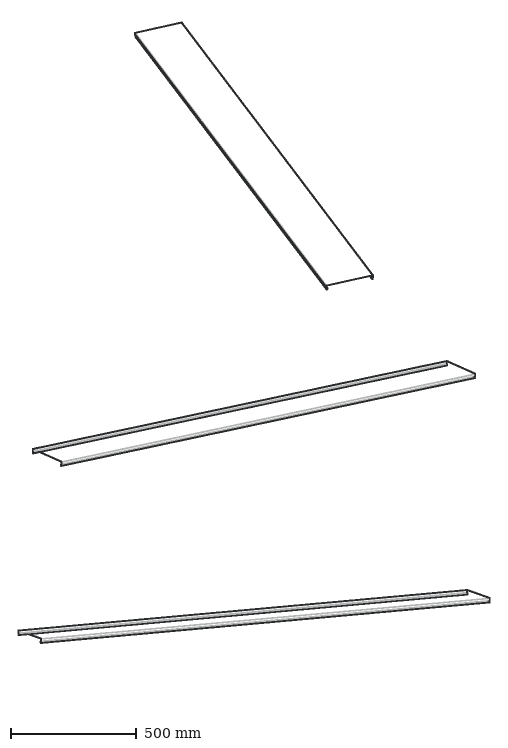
import cadquery as cq

length = 2000.0
width = 202.0
height = 19.2

sheet = 1.0
inner_bend = 1.0
outer_bend = inner_bend + sheet

flange_drop = 10.0
knee_drop = 15.0
knee_inset = 5.0
lip_inset = 2.0

half_width = width / 2


def side_outline(inset):
    """Points down the +Y flange, moved inward by inset."""
    edge = half_width - inset
    return [
        (edge, -flange_drop),
        (edge - knee_inset, -knee_drop),
        (edge - lip_inset, -height),
    ]


def mirrored(points):
    return [(-y, z) for y, z in points]


def round_bend(body, y, z, radius):
    """Round the two lengthwise edges at (+y, z) and (-y, z)."""
    for side in (1, -1):
        edge = cq.selectors.NearestToPointSelector((0, side * y, z))
        body = body.edges("|X").edges(edge).fillet(radius)
    return body


outer_side = side_outline(0)
inner_side = side_outline(sheet)
half_profile = (
    [(half_width, 0)]
    + outer_side
    + inner_side[::-1]
    + [(half_width - sheet, -sheet)]
)
profile = half_profile + mirrored(half_profile)[::-1]

cover = (
    cq.Workplane("YZ")
    .polyline(profile)
    .close()
    .extrude(length / 2, both=True)
)

cover = round_bend(cover, half_width, 0, outer_bend)
cover = round_bend(cover, half_width - sheet, -sheet, inner_bend)

cover = round_bend(cover, *outer_side[0], outer_bend)
cover = round_bend(cover, *inner_side[0], inner_bend)
cover = round_bend(cover, *outer_side[1], inner_bend)
cover = round_bend(cover, *inner_side[1], outer_bend)

result = cover